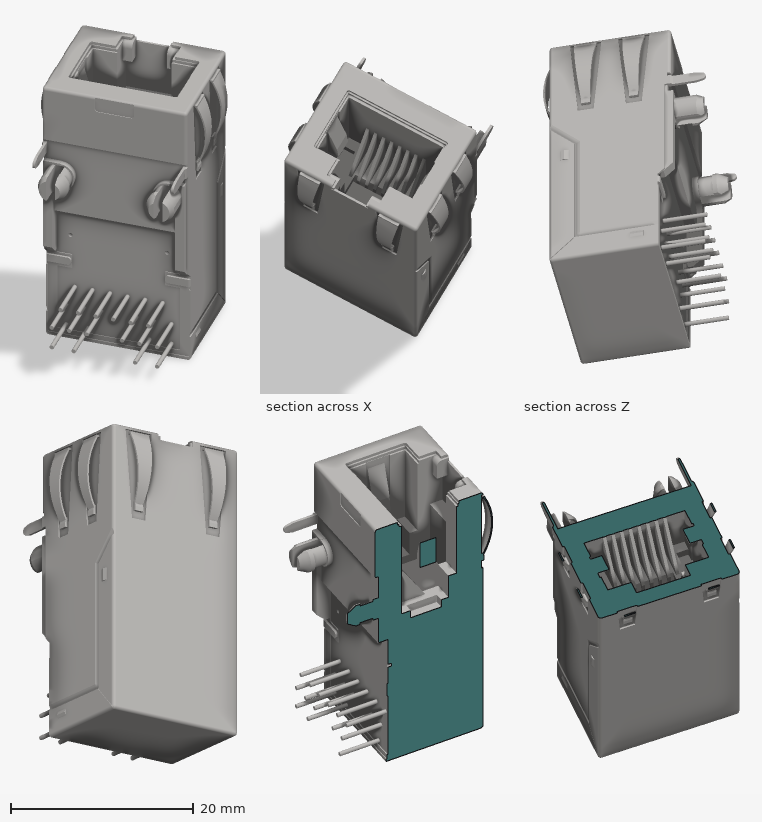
import cadquery as cq
import math


width = 16.75
height = 33.01
half_width = width / 2
flange_depth = 13.65
shell_depth = 12.96
rear_depth = 12.27
flange_bottom = 26.28
shoulder_top = 11.6
edge_radius = 0.36
edge_fold = 0.35
sheet = 0.2
overlap = 0.2
root_overlap = 0.5
clear = 1.0

plate_depth = 13.25
plate_half_width = 8.17
plate_bottom = 17.0
panel_half_width = 7.12
panel_depth = 12.07
rim_depth = 12.17
rim_bottom = 0.4
panel_bottom = 1.0
foot_depth = 13.9
foot_top = 23.65
foot_bottom = 11.41
foot_chamfer_top = 12.5
foot_fillet = 1.0

peg_x = 6.23
peg_z = 21.93
peg_radius = 1.69
peg_half_height = 1.45
peg_flat = 1.64
peg_slot = 1.05
peg_tip = 17.13
peg_taper_start = 16.37
peg_tip_radius = 1.34
barb_neck_radius = 1.46
barb_start = 15.5
barb_end = 16.0
barb_tip_radius = 1.1

pin_radius = 0.25
pin_tip = 17.05
pin_pitch = 2.035
pin_row_pitch = 2.55
first_row_z = 1.62
hole_x = 5.6
hole_z = 13.35
hole_depth = 0.5

leg_thickness = 0.3
leg_outer_x = 8.18
leg_bottom = 24.55
leg_top = 25.83
leg_jog_start = 13.6
leg_jog_end = 13.85
leg_taper_start = 16.4
leg_taper_end = 17.2
leg_taper_half_height = 0.46
leg_tip = 17.53
lock_z = 10.1
lock_height = 0.94
lock_tip_x = 5.46
lock_depth = 12.44
lock_seat_z = 10.02
lock_seat_height = 1.76
lock_seat_x = 5.4
lock_bend_radius = 0.3
lock_tip_radius = 0.37

spring_reach = 1.22
spring_shoulder = 0.22
spring_top = 32.35
spring_bottom = 24.1
spring_stub = 0.25
spring_top_width = 2.5
spring_end_width = 1.05
spring_end_z = 23.4
spring_end_height = 0.5
spring_end_slope_top = 24.5
window_top = 32.6
window_bottom = 22.48
window_top_width = 3.5
window_bottom_width = 1.78
side_spring_depths = (4.12, 9.52)
back_spring_x = 4.97
bump = 0.14

back_catch = ((1.23, 2.22), (15.2, 16.6))
bottom_catch = ((9.1, 10.58), (1.64, 2.45))

seam_width = 0.65
seam_slope_width = 0.46
seam_depth = 0.15
cover_depth = 2.82
cover_height = 3.02
cover_back_top = 20.28
miter_gap = 0.12

opening_half_width = 6.35
opening_back = 3.1
opening_front = 10.8
lip = 0.35
opening_corner = 0.25
mouth_side_step = 0.2
mouth_back_step = 0.1
back_gap_drop = 0.8
cavity_half_width = 5.95
cavity_back = 3.4
cavity_front = 10.28
cavity_floor = 20.0
shelf_depth = 4.4
shelf_z = 23.0
latch_half_width = 3.17
latch_lip_half_width = 3.43
latch_lip_back = 0.92
latch_back = 0.25
latch_floor = 19.0
latch_front = 6.83
ledge_depth = 1.85
ledge_z = 26.08
latch_gap_half_width = 2.02
latch_gap_lip_half_width = 2.28
stop_depth = 1.6
stop_bottom = 30.3
contact_count = 8
contact_pitch = 1.02
contact_width = 0.37
contact_back = 6.36
contact_rise = 6.0
side_slot_back = 5.3
side_slot_front = 8.3
side_pocket_front = 9.15
side_pocket_x = 4.5
side_slot_x = 6.11
side_pocket_depth = 1.0
finger_back = 5.9
finger_front = 8.02
finger_inner_x = 4.75
finger_top = 31.4
finger_bend_x = 4.95
finger_bend_z = 27.4
finger_bottom = 25.5

tab_half_width = 2.27
tab_bottom = 31.13
tab_recess = 0.08


def block(x_range, depth_range, z_range):
    """Box given by its X, depth and Z limits."""
    size = [abs(b - a) for a, b in (x_range, depth_range, z_range)]
    return cq.Workplane("XY").box(*size, centered=False).translate(
        (min(x_range), -max(depth_range), min(z_range)))


def centred_block(half_size, depth_range, z_range):
    """Box symmetric about X = 0."""
    return block((-half_size, half_size), depth_range, z_range)


def side_profile(points, x_start, x_end):
    """Prism along X from (depth, z) outline points."""
    outline = [(-depth, z) for depth, z in points]
    return (cq.Workplane("YZ").workplane(offset=x_start)
            .polyline(outline).close().extrude(x_end - x_start))


def both_sides(solid):
    """The solid together with its mirror image across X = 0."""
    return solid.union(solid.mirror("YZ"))


def make_housing():
    shoulder_bottom = shoulder_top - (shell_depth - rear_depth)
    points = [
        (0, 0), (0, height), (flange_depth, height), (flange_depth, flange_bottom),
        (plate_depth, flange_bottom), (plate_depth, leg_bottom), (shell_depth, leg_bottom),
        (shell_depth, shoulder_top), (rear_depth, shoulder_bottom), (rear_depth, 0),
    ]
    housing = side_profile(points, -half_width, half_width)
    housing = housing.edges("(|Z and >Y) or (|Z and <Y)").fillet(edge_radius)
    housing = housing.faces(">Z").edges().fillet(edge_fold)
    return housing.faces("<Z").edges("not <Y").fillet(edge_fold)


def make_front_plate():
    return centred_block(plate_half_width, (shell_depth - clear, plate_depth),
                         (plate_bottom, flange_bottom))


def cut_panel(body):
    """Lower the plastic below the shell edge, then the pin panel below the rim."""
    rim = centred_block(plate_half_width, (rim_depth, flange_depth), (rim_bottom, foot_bottom))
    panel = centred_block(panel_half_width, (panel_depth, flange_depth), (panel_bottom, plate_bottom))
    return body.cut(rim).cut(panel)


def make_foot():
    root = rear_depth - root_overlap
    arm = side_profile([
        (root, foot_top), (foot_depth, foot_top), (foot_depth, foot_chamfer_top),
        (foot_depth - (foot_chamfer_top - foot_bottom), foot_bottom), (root, foot_bottom),
    ], -plate_half_width, -panel_half_width)
    pad_bottom = peg_z - peg_radius
    pad = block((-plate_half_width, -peg_x), (root, foot_depth), (pad_bottom, foot_top))
    disc = (cq.Workplane("XZ").workplane(offset=root).center(-peg_x, peg_z)
            .circle(peg_radius).extrude(foot_depth - root))
    web = (cq.Workplane("XZ").workplane(offset=root)
           .moveTo(-panel_half_width, pad_bottom)
           .lineTo(-panel_half_width + foot_fillet, pad_bottom)
           .radiusArc((-panel_half_width, pad_bottom - foot_fillet), -foot_fillet)
           .close().extrude(foot_depth - root))
    return arm.union(pad).union(disc).union(web)


def make_peg():
    """Split peg on the -X side: plain outer prong, barbed inner prong."""
    root = foot_depth - root_overlap

    def turned(points):
        outline = [(0, -root)] + [(r, -depth) for r, depth in points] + [(0, -peg_tip)]
        return cq.Workplane("XY").polyline(outline).close().revolve(360, (0, 0), (0, 1))

    outer = turned([(peg_radius, root), (peg_radius, peg_taper_start), (peg_tip_radius, peg_tip)])
    inner = turned([
        (barb_neck_radius, root), (barb_neck_radius, barb_start), (peg_radius, barb_start),
        (peg_radius, barb_end), (barb_tip_radius, peg_tip),
    ])
    prong_z = (-peg_half_height, peg_half_height)
    outer = outer.intersect(block((-peg_flat, -peg_slot / 2), (root, peg_tip), prong_z))
    inner = inner.intersect(block((peg_slot / 2, peg_radius), (root, peg_tip), prong_z))
    return outer.union(inner).translate((-peg_x, 0, peg_z))


def cut_peg_slot(body):
    """Round bottomed slot that runs between the two prongs into the foot."""
    slot = (cq.Workplane("XY").center(-peg_x, -foot_depth)
            .circle(peg_slot / 2).extrude(2 * peg_half_height)
            .translate((0, 0, peg_z - peg_half_height)))
    return body.cut(both_sides(slot))


def pin_positions():
    """(x, z) of every pin, from the lowest row up."""
    rows = [
        [3 * pin_pitch, 1.75 * pin_pitch],
        [3 * pin_pitch, 2 * pin_pitch, pin_pitch],
        [2.5 * pin_pitch, 1.5 * pin_pitch, 0.5 * pin_pitch],
    ]
    return [(side * x, first_row_z + row * pin_row_pitch)
            for row, xs in enumerate(rows) for x in xs for side in (-1, 1)]


def make_pins():
    root = panel_depth - root_overlap
    return (cq.Workplane("XZ").workplane(offset=root).pushPoints(pin_positions())
            .circle(pin_radius).extrude(pin_tip - root))


def cut_holes(body):
    holes = (cq.Workplane("XZ").workplane(offset=panel_depth - hole_depth)
             .pushPoints([(-hole_x, hole_z), (hole_x, hole_z)])
             .circle(pin_radius).extrude(2 * hole_depth))
    return body.cut(holes)


def make_leg():
    """Board leg on the -X side: jogs inward from the wall and ends in a round tip."""
    root = plate_depth - clear
    mid_z = (leg_bottom + leg_top) / 2
    inner_x = -leg_outer_x + leg_thickness
    section = (cq.Workplane("XY").polyline([
        (-half_width, -root), (-half_width, -leg_jog_start), (-leg_outer_x, -leg_jog_end),
        (-leg_outer_x, -leg_tip), (inner_x, -leg_tip), (inner_x, -root)])
        .close().extrude(height))
    outline = (cq.Workplane("YZ").moveTo(-root, leg_bottom)
               .lineTo(-leg_taper_start, leg_bottom)
               .lineTo(-leg_taper_end, mid_z - leg_taper_half_height)
               .threePointArc((-leg_tip, mid_z), (-leg_taper_end, mid_z + leg_taper_half_height))
               .lineTo(-leg_taper_start, leg_top).lineTo(-root, leg_top)
               .close().extrude(-half_width))
    return section.intersect(outline)


def lock_seat_limits():
    return (lock_seat_z - lock_seat_height / 2, lock_seat_z + lock_seat_height / 2)


def cut_lock_notch(body):
    """Notch in the shell edge where the locking tab is bent inward."""
    notch = block((-half_width, -panel_half_width), (rim_depth, flange_depth), lock_seat_limits())
    return body.cut(both_sides(notch))


def make_lock_seat():
    """Part of the rim that reaches inward under the locking tab."""
    return block((-plate_half_width, -lock_seat_x), (panel_depth - overlap, rim_depth), lock_seat_limits())


def make_lock_tab():
    tab = block((-half_width, -lock_tip_x), (rim_depth - overlap, lock_depth),
                (lock_z - lock_height / 2, lock_z + lock_height / 2))
    tab = tab.faces(">X").edges("|Y").fillet(lock_tip_radius)
    return tab.edges("<X and <Y").fillet(lock_bend_radius)


def trapezoid(top_width, top_z, bottom_width, bottom_z, start, end):
    return (cq.Workplane("YZ").workplane(offset=start)
            .polyline([(-top_width / 2, top_z), (top_width / 2, top_z),
                       (bottom_width / 2, bottom_z), (-bottom_width / 2, bottom_z)])
            .close().extrude(end - start))


def spring_window():
    """Tapered recess in a wall whose outer face is X = 0, facing +X."""
    return trapezoid(window_top_width, window_top, window_bottom_width, window_bottom, -sheet, sheet)


def spring_leaf():
    """Bowed tapered leaf on a wall whose outer face is X = 0, facing +X."""
    middle = (spring_top + spring_bottom) / 2
    root = -sheet - overlap / 2
    bow_top = spring_top - spring_shoulder
    bow = (cq.Workplane("XZ").moveTo(root, spring_top)
           .lineTo(spring_stub, spring_top)
           .lineTo(spring_stub, bow_top)
           .threePointArc((spring_reach, middle), (0, spring_bottom))
           .lineTo(root, spring_bottom)
           .lineTo(root, spring_bottom + sheet)
           .lineTo(0, spring_bottom + 2 * sheet)
           .threePointArc((spring_reach - sheet, middle), (spring_stub - sheet, bow_top))
           .lineTo(root, bow_top)
           .close().extrude(spring_top_width / 2, both=True))
    bow = bow.intersect(trapezoid(spring_top_width, spring_top, spring_end_width, spring_bottom,
                                  root, spring_reach + sheet))
    end_pad = (cq.Workplane("XZ").polyline([
        (root, spring_end_z), (bump, spring_end_z), (bump, spring_end_z + spring_end_height),
        (0, spring_end_slope_top), (root, spring_end_slope_top)])
        .close().extrude(spring_end_width / 2, both=True))
    return bow.union(end_pad)


def at_spring_places(solid):
    """Copies of a +X facing solid on both side walls and on the back wall."""
    copies = []
    for depth in side_spring_depths:
        copies.append(solid.translate((half_width, -depth, 0)))
        copies.append(solid.rotate((0, 0, 0), (0, 0, 1), 180).translate((-half_width, -depth, 0)))
    for x in (-back_spring_x, back_spring_x):
        copies.append(solid.rotate((0, 0, 0), (0, 0, 1), 90).translate((x, 0, 0)))
    return copies


def cover_outline(margin):
    """(depth, z) outline of the rear cover flap on a side wall, grown by margin."""
    diagonal_shift = margin * math.sqrt(2)
    top = cover_back_top + diagonal_shift
    corner = cover_depth + margin
    return [(-clear, -clear), (-clear, top + clear), (corner, top - corner),
            (corner, cover_height + margin), (flange_depth + clear, cover_height + margin),
            (flange_depth + clear, -clear)]


def cut_cover_seam(body):
    """Groove with a sloping outer flank along the edge of the rear cover."""
    outline = [(-depth, z) for depth, z in cover_outline(seam_width)]
    slope = math.degrees(math.atan(seam_slope_width / seam_depth))
    groove = (cq.Workplane("YZ").workplane(offset=half_width).polyline(outline).close()
              .extrude(-seam_depth, taper=slope))
    flap = side_profile(cover_outline(0), half_width - clear, half_width + clear)
    miter = side_profile([(0, 0), (cover_depth, cover_height - miter_gap), (cover_depth, cover_height),
                          (0, miter_gap)], half_width - seam_depth, half_width + clear)
    return body.cut(both_sides(groove.cut(flap))).cut(both_sides(miter))


def make_ridge(depth_range, z_range):
    """Roof shaped catch on the +X wall with its ridge along the longer side."""
    lengths = (depth_range[1] - depth_range[0], z_range[1] - z_range[0])
    mid_depth = sum(depth_range) / 2
    mid_z = sum(z_range) / 2
    section = [(-sheet, -min(lengths) / 2), (0, -min(lengths) / 2), (bump, 0),
               (0, min(lengths) / 2), (-sheet, min(lengths) / 2)]
    ridge = cq.Workplane("XY").polyline(section).close().extrude(max(lengths) / 2, both=True)
    if lengths[0] > lengths[1]:
        ridge = ridge.rotate((0, 0, 0), (1, 0, 0), 90)
    return ridge.translate((half_width, -mid_depth, mid_z))


def cut_opening(body):
    above = height + clear
    rim = height - lip
    half_mouth = opening_half_width - mouth_side_step
    mouth_depths = (opening_back + mouth_back_step, opening_front - mouth_side_step)
    back_gap_bottom = height - back_gap_drop
    cuts = [
        centred_block(opening_half_width, (opening_back, opening_front), (rim, above))
        .edges("|Z").fillet(opening_corner),
        centred_block(half_mouth, mouth_depths, (rim - lip, above)),
        centred_block(cavity_half_width, (cavity_back, cavity_front), (cavity_floor, above)),
        centred_block(latch_lip_half_width, (latch_lip_back, opening_back), (rim, above)),
        centred_block(latch_half_width, (latch_back, ledge_depth), (ledge_z, rim)),
        centred_block(latch_half_width, (latch_lip_back, ledge_depth), (ledge_z, above)),
        side_profile([
            (ledge_depth, latch_floor), (contact_back, latch_floor), (latch_front, cavity_floor),
            (latch_front, above), (ledge_depth, above),
        ], -latch_half_width, latch_half_width),
        centred_block(latch_gap_lip_half_width, (-clear, latch_back), (back_gap_bottom, above)),
        centred_block(latch_gap_lip_half_width, (0, latch_lip_back), (rim, above)),
        centred_block(latch_gap_half_width, (latch_back, ledge_depth), (ledge_z, above)),
        both_sides(block((side_pocket_x, side_slot_x), (side_slot_back, side_slot_front),
                         (cavity_floor - side_pocket_depth, rim))),
        both_sides(block((side_pocket_x, cavity_half_width), (side_slot_front, side_pocket_front),
                         (cavity_floor - side_pocket_depth, cavity_floor))),
    ]
    for cut in cuts:
        body = body.cut(cut)
    return body


def make_shelves():
    shelf = block((latch_half_width, cavity_half_width), (cavity_back, shelf_depth),
                  (cavity_floor, shelf_z))
    return both_sides(shelf)


def make_latch_stops():
    """Rounded stops on both sides of the latch gap."""
    stop = block((latch_gap_half_width, latch_half_width), (latch_back - overlap, stop_depth),
                 (stop_bottom, height - lip))
    stop = stop.edges("<Y and >Z").fillet(stop_depth - latch_lip_back)
    return both_sides(stop)


def make_contacts():
    """Contact blades as sloping ribs that rise toward the front wall."""
    blades = cq.Workplane("XY")
    root = latch_floor - overlap
    for index in range(contact_count):
        x = (index - (contact_count - 1) / 2) * contact_pitch
        blades = blades.union(side_profile([
            (contact_back, root), (contact_back, cavity_floor),
            (cavity_front + overlap, cavity_floor + contact_rise), (cavity_front + overlap, root),
        ], x - contact_width / 2, x + contact_width / 2))
    return blades


def make_fingers():
    """Side grounding fingers slanting into the plug cavity."""
    root_x = side_slot_x + overlap
    finger = (cq.Workplane("XZ").polyline([
        (root_x, finger_top), (side_slot_x, finger_top), (finger_bend_x, finger_bend_z),
        (finger_inner_x, finger_bottom), (root_x, finger_bottom)])
        .close().extrude(finger_front - finger_back).translate((0, -finger_back, 0)))
    return both_sides(finger)


def cut_front_tab(body):
    tab = centred_block(tab_half_width, (flange_depth - tab_recess, flange_depth + clear),
                        (tab_bottom, height + clear))
    return body.cut(tab.edges("|Y and <Z").fillet(edge_radius))


body = make_housing().union(make_front_plate())
body = cut_panel(body)
body = body.union(both_sides(make_foot())).union(both_sides(make_peg()))
body = cut_peg_slot(body)
body = cut_holes(body).union(make_pins())
body = cut_lock_notch(body).union(both_sides(make_lock_seat()))
body = body.union(both_sides(make_lock_tab())).union(both_sides(make_leg()))
body = cut_cover_seam(body)
for window in at_spring_places(spring_window()):
    body = body.cut(window)
for leaf in at_spring_places(spring_leaf()):
    body = body.union(leaf)
for ridge in (make_ridge(*back_catch), make_ridge(*bottom_catch)):
    body = body.union(both_sides(ridge))
body = cut_opening(body)
for insert in (make_shelves(), make_latch_stops(), make_contacts(), make_fingers()):
    body = body.union(insert)
result = cut_front_tab(body)